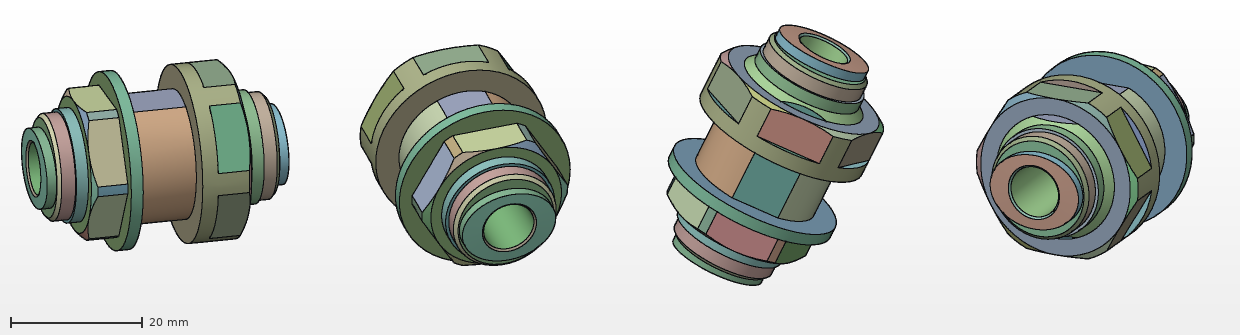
import cadquery as cq
import math

half_length = 19.25

sleeve_radius = 8.28
sleeve_chamfer = 0.58
sleeve_end = 17.6
ring_radius = 8.78
ring_end = 14.82
ring_start = 12.95

collet_half_width = 7.5
collet_half_height = 6.0
collet_edge_drop = 0.15

tube_radius = 4.05
tube_mouth_radius = 4.35
mouth_chamfer = tube_mouth_radius - tube_radius
tube_depth = 15.4
passage_radius = 3.1

barrel_radius = 10.0
barrel_flat = 9.25
barrel_shoulder = 11.8

flange_radius = 13.75
flange_start = 3.77
flange_hex_start = 6.28
flange_hex_flat = 12.7
collar_end = -5.62
nut_start = -7.5
nut_flat = 10.5
nut_corner_radius = 11.7
hex_chamfer_angle = math.radians(30)


def revolve_y(profile):
    """Revolve a closed (radius, y) profile about the Y axis."""
    return cq.Workplane("XY").polyline(profile).close().revolve(360, (0, 0), (0, 1))


def disc(radius, start, end):
    """Cylinder about Y between two stations."""
    return revolve_y([(0, start), (radius, start), (radius, end), (0, end)])


def hexagon(flat, corner_radius, start, end):
    """Hexagon with corners cut to a circle, flats facing +Z and -Z, chamfered at its end station."""
    direction = math.copysign(1, end - start)
    corner_drop = (corner_radius - flat) * math.tan(hex_chamfer_angle)
    blank = revolve_y([
        (0, start),
        (corner_radius, start),
        (corner_radius, end - direction * corner_drop),
        (flat, end),
        (0, end),
    ])
    across_corners = 2 * flat / math.cos(math.pi / 6)
    prism = (
        cq.Workplane("XZ", origin=(0, start, 0))
        .polygon(6, across_corners)
        .extrude(start - end)
    )
    return blank.intersect(prism)


def barrel():
    """Central round body with two flats and a cone down to the rear ring."""
    core = revolve_y([
        (0, -ring_start),
        (ring_radius, -ring_start),
        (ring_radius, nut_start),
        (barrel_radius, nut_start),
        (barrel_radius, barrel_shoulder),
        (ring_radius, ring_start),
        (0, ring_start),
    ])
    slab = cq.Workplane("XY").box(2 * barrel_radius, 2 * half_length, 2 * barrel_flat)
    return core.intersect(slab)


def flange_nut():
    """Flanged nut whose round bore leaves a gap over each barrel flat."""
    flange = disc(flange_radius, flange_start, flange_hex_start)
    head = hexagon(flange_hex_flat, flange_radius, flange_hex_start, barrel_shoulder)
    return flange.union(head).cut(disc(barrel_radius, flange_start, barrel_shoulder))


def collet():
    """Ellipse through the full length, trimmed by the conical end faces."""
    ellipse = (
        cq.Workplane("XZ")
        .ellipse(collet_half_width, collet_half_height)
        .extrude(half_length, both=True)
    )
    edge = half_length - collet_edge_drop
    trim = revolve_y([
        (0, -half_length),
        (tube_mouth_radius, -half_length),
        (collet_half_width, -edge),
        (collet_half_width, edge),
        (tube_mouth_radius, half_length),
        (0, half_length),
    ])
    return ellipse.intersect(trim)


def end_steps():
    """Ring and chamfered sleeve at the +Y end."""
    ring = disc(ring_radius, ring_start, ring_end)
    sleeve = disc(sleeve_radius, ring_end, sleeve_end).faces(">Y").chamfer(sleeve_chamfer)
    return ring.union(sleeve)


def tube_socket():
    """Tube hole at the +Y end, with a chamfered mouth."""
    bottom = half_length - tube_depth
    return revolve_y([
        (0, bottom),
        (tube_radius, bottom),
        (tube_radius, half_length - mouth_chamfer),
        (tube_mouth_radius, half_length),
        (0, half_length),
    ])


rear_steps = end_steps()
socket = tube_socket()

result = (
    barrel()
    .union(flange_nut())
    .union(disc(flange_radius, nut_start, collar_end))
    .union(hexagon(nut_flat, nut_corner_radius, nut_start, -ring_start))
    .union(rear_steps)
    .union(rear_steps.mirror("XZ"))
    .union(collet())
    .cut(disc(passage_radius, -half_length, half_length))
    .cut(socket)
    .cut(socket.mirror("XZ"))
)